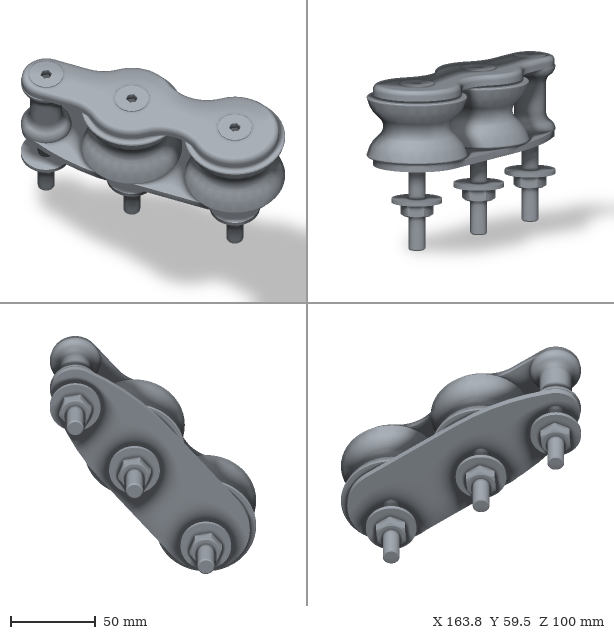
import cadquery as cq
import math

POST_X = 0.0
ROLLER_XS = (54.0, 119.0)
BOLT_XS = (POST_X,) + ROLLER_XS

BASE_THICKNESS = 4.0
COVER_THICKNESS = 6.0
PLATE_GAP = 38.5
POST_END_RADIUS = 14.5
ROLLER_END_RADIUS = 26.0
ARM_NECK_RADIUS = 25.0
COVER_EDGE_FILLET = 3.0

GAP_BOTTOM_Z = BASE_THICKNESS
GAP_TOP_Z = GAP_BOTTOM_Z + PLATE_GAP
GAP_MIDDLE_Z = (GAP_BOTTOM_Z + GAP_TOP_Z) / 2
COVER_TOP_Z = GAP_TOP_Z + COVER_THICKNESS

POST_CORE_RADIUS = 9.5
POST_FLANGE_RADIUS = 15.0
POST_CORE_HALF_LENGTH = 8.9
POST_RIM_HEIGHT = 0.3

ROLLER_HALF_WIDTH = 18.0
ROLLER_RIM_RADIUS = 29.75
ROLLER_RIM_CHAMFER = 0.5
ROLLER_RIM_HALF_WIDTH = 17.0
ROLLER_WAIST_RADIUS = 20.0
WAIST_ARC_END_RADIUS = 22.65
WAIST_ARC_HALF_WIDTH = 5.5
SPACER_RADIUS = 22.5

BOLT_LENGTH = 100.0
BOLT_RADIUS = 5.0
BOLT_TIP_CHAMFER = 0.75
HEAD_RADIUS = 10.0
HEAD_PROTRUSION = 0.5
HEAD_RECESS_RADIUS = 11.0
HEAD_RECESS_DEPTH = 0.1
SOCKET_ACROSS_FLATS = 6.0
SOCKET_DEPTH = 4.0

HEAD_TOP_Z = COVER_TOP_Z + HEAD_PROTRUSION
BOLT_TIP_Z = HEAD_TOP_Z - BOLT_LENGTH

WASHER_RADIUS = 15.0
WASHER_THICKNESS = 2.5
WASHER_TOP_Z = -20.0
NUT_ACROSS_FLATS = 17.0
NUT_HEIGHT = 8.0
NUT_FACE_RADIUS = 8.0
NUT_CHAMFER_HEIGHT = 1.1

NUT_TOP_Z = WASHER_TOP_Z - WASHER_THICKNESS
NUT_BOTTOM_Z = NUT_TOP_Z - NUT_HEIGHT


def disc(x, radius, bottom_z, top_z):
    """Upright cylinder centred on a station."""
    return cq.Workplane("XY", origin=(x, 0, bottom_z)).circle(radius).extrude(top_z - bottom_z)


def hexagon(x, across_flats, bottom_z, top_z, turn):
    """Upright hexagonal prism, turned about its own axis by an angle in degrees."""
    corner_diameter = across_flats / math.cos(math.pi / 6)
    return (
        cq.Workplane("XY", origin=(x, 0, bottom_z))
        .transformed(rotate=(0, 0, turn))
        .polygon(6, corner_diameter)
        .extrude(top_z - bottom_z)
    )


def revolve_at(x, z, profile):
    """Turn a closed (radius, height) profile about the vertical axis at a station."""
    return profile.revolve(360, (0, 0), (0, 1)).translate((x, 0, z))


def base_plate():
    """Plate with a rounded roller end and bulged flanks that taper to the post end."""
    first_x, last_x = ROLLER_XS
    flank_radius = (first_x**2 + ROLLER_END_RADIUS**2 - POST_END_RADIUS**2) / (
        2 * (ROLLER_END_RADIUS - POST_END_RADIUS)
    )
    flank_centre_y = ROLLER_END_RADIUS - flank_radius
    to_post = POST_END_RADIUS / (flank_radius - POST_END_RADIUS)
    touch_x = -first_x * to_post
    touch_y = -flank_centre_y * to_post
    touch_angle = math.atan2(touch_y - flank_centre_y, touch_x - first_x)
    middle_angle = (touch_angle + math.pi / 2) / 2
    middle_x = first_x + flank_radius * math.cos(middle_angle)
    middle_y = flank_centre_y + flank_radius * math.sin(middle_angle)
    return (
        cq.Workplane("XY")
        .moveTo(touch_x, touch_y)
        .threePointArc((middle_x, middle_y), (first_x, ROLLER_END_RADIUS))
        .lineTo(last_x, ROLLER_END_RADIUS)
        .threePointArc((last_x + ROLLER_END_RADIUS, 0), (last_x, -ROLLER_END_RADIUS))
        .lineTo(first_x, -ROLLER_END_RADIUS)
        .threePointArc((middle_x, -middle_y), (touch_x, -touch_y))
        .threePointArc((POST_X - POST_END_RADIUS, 0), (touch_x, touch_y))
        .close()
        .extrude(BASE_THICKNESS)
    )


def cover_plate():
    """Waisted plate: a straight arm at the post and two lobes joined by hollow necks."""
    first_x, last_x = ROLLER_XS
    centre_distance = ROLLER_END_RADIUS + ARM_NECK_RADIUS
    lobe_share = ROLLER_END_RADIUS / centre_distance

    arm_neck_y = POST_END_RADIUS + ARM_NECK_RADIUS
    arm_neck_x = first_x - math.sqrt(centre_distance**2 - arm_neck_y**2)
    arm_touch_x = first_x + (arm_neck_x - first_x) * lobe_share
    arm_touch_y = arm_neck_y * lobe_share

    mid_x = (first_x + last_x) / 2
    mid_dx = mid_x - first_x
    mid_neck_radius = (mid_dx**2 + POST_END_RADIUS**2 - ROLLER_END_RADIUS**2) / (
        2 * (ROLLER_END_RADIUS - POST_END_RADIUS)
    )
    mid_lobe_share = ROLLER_END_RADIUS / (ROLLER_END_RADIUS + mid_neck_radius)
    mid_touch_dx = mid_dx * mid_lobe_share
    mid_touch_y = (POST_END_RADIUS + mid_neck_radius) * mid_lobe_share

    outline = (
        cq.Workplane("XY", origin=(0, 0, GAP_TOP_Z))
        .moveTo(POST_X, POST_END_RADIUS)
        .lineTo(arm_neck_x, POST_END_RADIUS)
        .tangentArcPoint((arm_touch_x, arm_touch_y), relative=False)
        .threePointArc((first_x, ROLLER_END_RADIUS), (first_x + mid_touch_dx, mid_touch_y))
        .threePointArc((mid_x, POST_END_RADIUS), (last_x - mid_touch_dx, mid_touch_y))
        .threePointArc((last_x + ROLLER_END_RADIUS, 0), (last_x - mid_touch_dx, -mid_touch_y))
        .threePointArc((mid_x, -POST_END_RADIUS), (first_x + mid_touch_dx, -mid_touch_y))
        .threePointArc((first_x, -ROLLER_END_RADIUS), (arm_touch_x, -arm_touch_y))
        .tangentArcPoint((arm_neck_x, -POST_END_RADIUS), relative=False)
        .lineTo(POST_X, -POST_END_RADIUS)
        .threePointArc((POST_X - POST_END_RADIUS, 0), (POST_X, POST_END_RADIUS))
        .close()
    )
    plate = outline.extrude(COVER_THICKNESS).faces(">Z").edges().fillet(COVER_EDGE_FILLET)
    for x in BOLT_XS:
        plate = plate.cut(disc(x, HEAD_RECESS_RADIUS, COVER_TOP_Z - HEAD_RECESS_DEPTH, COVER_TOP_Z))
    return plate


def arc_middle(start, end, half_turn):
    """Middle point of a (radius, height) arc; a positive half turn bulges away from the axis."""
    radius_step = end[0] - start[0]
    height_step = end[1] - start[1]
    bulge = math.tan(half_turn / 2) / 2
    middle_radius = (start[0] + end[0]) / 2 + height_step * bulge
    middle_height = (start[1] + end[1]) / 2 - radius_step * bulge
    return (middle_radius, middle_height)


def mirrored(point):
    """Reflect a (radius, height) point to the other side of the mid-plane."""
    return (point[0], -point[1])


def post():
    """Guide post: a plain core that flares in an S-curve to a narrow rim at each plate."""
    half_length = PLATE_GAP / 2
    core = (POST_CORE_RADIUS, POST_CORE_HALF_LENGTH)
    flange = (POST_FLANGE_RADIUS, half_length - POST_RIM_HEIGHT)
    flare = ((core[0] + flange[0]) / 2, (core[1] + flange[1]) / 2)
    tilt = math.atan2(flange[0] - core[0], flange[1] - core[1])
    hollow = arc_middle(core, flare, -tilt)
    shoulder = arc_middle(flare, flange, tilt)
    profile = (
        cq.Workplane("XZ")
        .moveTo(0, -half_length)
        .lineTo(POST_FLANGE_RADIUS, -half_length)
        .lineTo(*mirrored(flange))
        .threePointArc(mirrored(shoulder), mirrored(flare))
        .threePointArc(mirrored(hollow), mirrored(core))
        .lineTo(*core)
        .threePointArc(hollow, flare)
        .threePointArc(shoulder, flange)
        .lineTo(POST_FLANGE_RADIUS, half_length)
        .lineTo(0, half_length)
        .close()
    )
    return revolve_at(POST_X, GAP_MIDDLE_Z, profile)


def roller(x):
    """Waisted roller with bulged flanks and narrow rims, between two spacer discs."""
    waist = (WAIST_ARC_END_RADIUS, WAIST_ARC_HALF_WIDTH)
    rim = (ROLLER_RIM_RADIUS, ROLLER_RIM_HALF_WIDTH)
    side_radius = ROLLER_RIM_RADIUS - ROLLER_RIM_CHAMFER
    chamfer_start = (ROLLER_RIM_RADIUS, ROLLER_HALF_WIDTH - ROLLER_RIM_CHAMFER)
    side = (side_radius, ROLLER_HALF_WIDTH)
    waist_turn = 2 * math.atan2(waist[0] - ROLLER_WAIST_RADIUS, waist[1])
    flank_tilt = math.atan2(rim[0] - waist[0], rim[1] - waist[1])
    flank = arc_middle(waist, rim, waist_turn - flank_tilt)
    profile = (
        cq.Workplane("XZ")
        .moveTo(0, -ROLLER_HALF_WIDTH)
        .lineTo(*mirrored(side))
        .lineTo(*mirrored(chamfer_start))
        .lineTo(*mirrored(rim))
        .threePointArc(mirrored(flank), mirrored(waist))
        .threePointArc((ROLLER_WAIST_RADIUS, 0), waist)
        .threePointArc(flank, rim)
        .lineTo(*chamfer_start)
        .lineTo(*side)
        .lineTo(0, ROLLER_HALF_WIDTH)
        .close()
    )
    body = revolve_at(x, GAP_MIDDLE_Z, profile)
    lower_spacer = disc(x, SPACER_RADIUS, GAP_BOTTOM_Z, GAP_MIDDLE_Z - ROLLER_HALF_WIDTH)
    upper_spacer = disc(x, SPACER_RADIUS, GAP_MIDDLE_Z + ROLLER_HALF_WIDTH, GAP_TOP_Z)
    return body.union(lower_spacer).union(upper_spacer)


def bolt(x):
    """Bolt whose flat head sits in a shallow round recess of the cover plate."""
    head_bottom_z = COVER_TOP_Z - HEAD_RECESS_DEPTH
    tip_radius = BOLT_RADIUS - BOLT_TIP_CHAMFER
    profile = (
        cq.Workplane("XZ")
        .moveTo(0, BOLT_TIP_Z)
        .lineTo(tip_radius, BOLT_TIP_Z)
        .lineTo(BOLT_RADIUS, BOLT_TIP_Z + BOLT_TIP_CHAMFER)
        .lineTo(BOLT_RADIUS, head_bottom_z)
        .lineTo(HEAD_RADIUS, head_bottom_z)
        .lineTo(HEAD_RADIUS, HEAD_TOP_Z)
        .lineTo(0, HEAD_TOP_Z)
        .close()
    )
    return revolve_at(x, 0, profile)


def socket(x):
    """Hexagonal key recess in a bolt head, with corners pointing along Y."""
    return hexagon(x, SOCKET_ACROSS_FLATS, HEAD_TOP_Z - SOCKET_DEPTH, HEAD_TOP_Z, 90)


def nut(x):
    """Hexagonal nut with corners along X, chamfered at both faces."""
    corner_radius = NUT_ACROSS_FLATS / 2 / math.cos(math.pi / 6)
    profile = (
        cq.Workplane("XZ")
        .moveTo(0, NUT_BOTTOM_Z)
        .lineTo(NUT_FACE_RADIUS, NUT_BOTTOM_Z)
        .lineTo(corner_radius, NUT_BOTTOM_Z + NUT_CHAMFER_HEIGHT)
        .lineTo(corner_radius, NUT_TOP_Z - NUT_CHAMFER_HEIGHT)
        .lineTo(NUT_FACE_RADIUS, NUT_TOP_Z)
        .lineTo(0, NUT_TOP_Z)
        .close()
    )
    prism = hexagon(x, NUT_ACROSS_FLATS, NUT_BOTTOM_Z, NUT_TOP_Z, 0)
    return prism.intersect(revolve_at(x, 0, profile))


result = base_plate().union(cover_plate()).union(post())
for roller_x in ROLLER_XS:
    result = result.union(roller(roller_x))
for bolt_x in BOLT_XS:
    washer = disc(bolt_x, WASHER_RADIUS, NUT_TOP_Z, WASHER_TOP_Z)
    result = result.union(bolt(bolt_x)).union(washer).union(nut(bolt_x)).cut(socket(bolt_x))